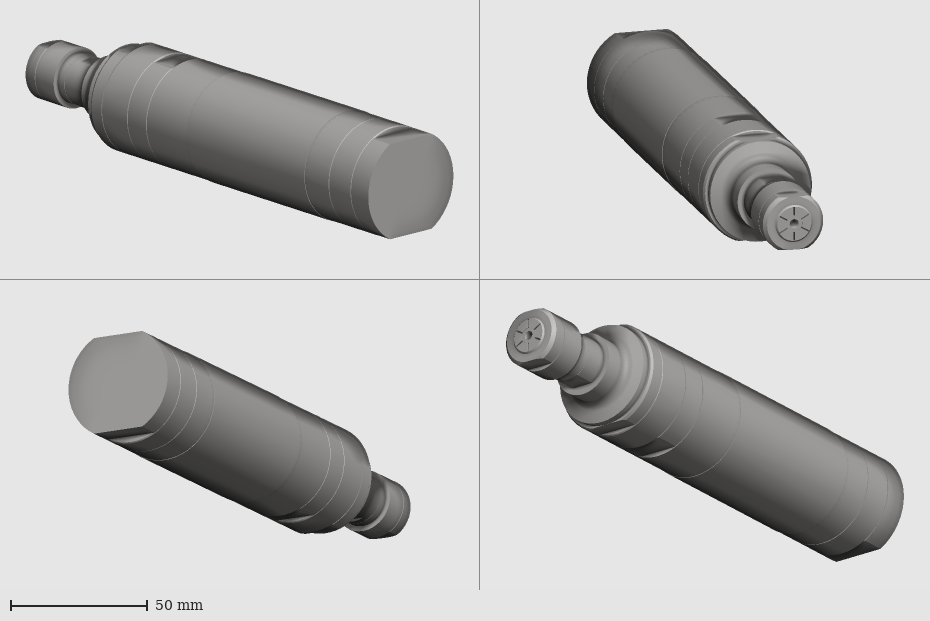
import cadquery as cq
import math

total_length = 201.3

nut_diameter = 23.0
nut_face_diameter = 20.3
nut_chamfer_end = 1.8
nut_flat_length = 7.2
nut_across_flats = 20.0
nut_end = 17.3

shaft_diameter = 19.1
shaft_groove_diameter = 19.0
shaft_groove_start = 21.1
shaft_groove_end = 24.2
shaft_across_flats = 17.1
shaft_end = 33.2

nose_diameter = 24.0
nose_end = 40.7
flare_radius = 3.0
flare_face_slope = 15.0
flange_diameter = 38.0
flange_end = 47.7

body_diameter = 41.5
notch_depth = 0.5
notch_width = 0.5
cap_face_diameter = 40.3
cap_chamfer_length = 1.0
cap_end = 54.1
ring_end = 68.6
waist_end = 79.0
sleeve_diameter = 41.9
sleeve_start = 101.8
sleeve_end = 166.2
collar_end = 179.7
rear_ring_end = 191.8
body_across_flats = 38.0
rear_across_flats = 36.2

nut_face = 0.6
collet_diameter = 14.0
collet_tip_diameter = 12.9
slot_count = 6
slot_width = 0.6
slot_depth = 2.0
pin_diameter = 6.0
pin_recess = 0.2
centre_mouth_diameter = 3.5
centre_hole_diameter = 1.6
centre_cone_depth = 3.0
centre_hole_depth = 2.0


def disc(diameter, start, end):
    """Cylinder on the X axis between two X positions."""
    return cq.Workplane("YZ").workplane(offset=start).circle(diameter / 2).extrude(end - start)


def cone(start_diameter, end_diameter, start, end):
    """Truncated cone on the X axis between two X positions."""
    profile = [(start, 0), (start, start_diameter / 2), (end, end_diameter / 2), (end, 0)]
    return cq.Workplane("XY").polyline(profile).close().revolve(360, (0, 0, 0), (1, 0, 0))


def turned_body():
    """Outer profile of the whole spindle revolved about X."""
    slope = math.radians(flare_face_slope)
    nose_radius = nose_diameter / 2
    flange_radius = flange_diameter / 2
    body_radius = body_diameter / 2
    notch_radius = body_radius - notch_depth
    nut_radius = nut_diameter / 2

    flare_turn = math.pi / 2 - slope
    flare_end = (
        nose_end + flare_radius * math.sin(flare_turn),
        nose_radius + flare_radius * (1 - math.cos(flare_turn)),
    )
    flare_middle = (
        nose_end + flare_radius * math.sin(flare_turn / 2),
        nose_radius + flare_radius * (1 - math.cos(flare_turn / 2)),
    )
    flange_start = flare_end[0] + (flange_radius - flare_end[1]) * math.tan(slope)

    front_steps = [
        (0, collet_tip_diameter / 2),
        (nut_face, collet_diameter / 2),
        (nut_face, nut_face_diameter / 2),
        (nut_chamfer_end, nut_radius),
        (nut_flat_length - notch_width, nut_radius),
        (nut_flat_length, nut_radius - notch_depth),
        (nut_flat_length, nut_radius),
        (nut_end, nut_radius),
        (nut_end, shaft_diameter / 2),
        (shaft_groove_start, shaft_diameter / 2),
        (shaft_groove_start, shaft_groove_diameter / 2),
        (shaft_groove_end, shaft_groove_diameter / 2),
        (shaft_groove_end, shaft_diameter / 2),
        (shaft_end, shaft_diameter / 2),
        (shaft_end, nose_radius),
        (nose_end, nose_radius),
    ]
    rear_steps = [
        (flange_start, flange_radius),
        (flange_end, flange_radius),
        (flange_end, cap_face_diameter / 2),
        (flange_end + cap_chamfer_length, body_radius),
        (cap_end, body_radius),
        (cap_end, notch_radius),
        (cap_end + notch_width, body_radius),
        (ring_end - notch_width, body_radius),
        (ring_end, notch_radius),
        (ring_end, body_radius),
        (waist_end - notch_width, body_radius),
        (waist_end, notch_radius),
        (waist_end, body_radius),
        (sleeve_start, body_radius),
        (sleeve_start, sleeve_diameter / 2),
        (sleeve_end, sleeve_diameter / 2),
        (sleeve_end, body_radius),
        (collar_end - notch_width, body_radius),
        (collar_end, notch_radius),
        (collar_end, body_radius),
        (rear_ring_end - notch_width, body_radius),
        (rear_ring_end, notch_radius),
        (rear_ring_end, body_radius),
        (total_length, body_radius),
        (total_length, 0),
    ]
    profile = cq.Workplane("XY").polyline([(0, 0)] + front_steps)
    profile = profile.threePointArc(flare_middle, flare_end)
    for point in rear_steps:
        profile = profile.lineTo(*point)
    return profile.close().revolve(360, (0, 0, 0), (1, 0, 0))


def cut_flats(body, start, end, across_flats):
    """Mill a pair of wrench flats, facing +Z and -Z, over a stretch of X."""
    length = end - start
    cutter_height = body_diameter
    for side in (1, -1):
        cutter = cq.Workplane("XY").box(length, 2 * body_diameter, cutter_height)
        centre_height = side * (across_flats + cutter_height) / 2
        body = body.cut(cutter.translate((start + length / 2, 0, centre_height)))
    return body


def cut_collet(body):
    """Slot the collet tip outside the pin, then recess and centre-drill the pin."""
    slot_length = (collet_tip_diameter - pin_diameter) / 2
    slot_blank = cq.Workplane("XY").box(slot_depth, slot_width, slot_length, centered=(False, True, False))
    slot_blank = slot_blank.translate((0, 0, pin_diameter / 2))
    for index in range(slot_count):
        body = body.cut(slot_blank.rotate((0, 0, 0), (1, 0, 0), index * 360 / slot_count))

    cone_end = pin_recess + centre_cone_depth
    body = body.cut(disc(pin_diameter, 0, pin_recess))
    body = body.cut(cone(centre_mouth_diameter, centre_hole_diameter, pin_recess, cone_end))
    return body.cut(disc(centre_hole_diameter, cone_end, cone_end + centre_hole_depth))


result = turned_body()
result = cut_flats(result, 0, nut_flat_length, nut_across_flats)
result = cut_flats(result, shaft_groove_end, shaft_end, shaft_across_flats)
result = cut_flats(result, flange_end, cap_end, body_across_flats)
result = cut_flats(result, ring_end, waist_end, body_across_flats)
result = cut_flats(result, rear_ring_end, total_length, rear_across_flats)
result = cut_collet(result)